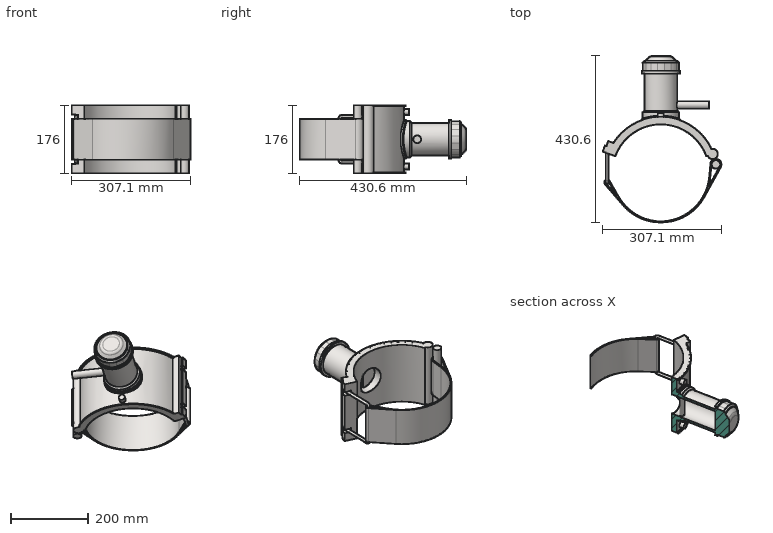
import cadquery as cq
import math

PIPE_RADIUS = 125.0
SADDLE_LENGTH = 176.0
SADDLE_RADIUS = 141.0
RIM_RADIUS = 145.0
RIM_THICKNESS = 3.0
END_ANGLE = 20.0
BORE_DIAMETER = 70.0

BLOCK_INNER = 135.0
BLOCK_OUTER = 160.0
BLOCK_STEP = 4.0
BLOCK_LOWER_WIDTH = 17.0
BLOCK_WIDTH = 31.0
NOTCH_FLOOR = 142.0

HINGE_RADIUS = 13.5
HINGE_CENTRE_RADIUS = 142.5
PIN_DIAMETER = 22.11
PIN_CENTRE = (142.18, 21.6)

STRAP_WIDTH = 105.0
STRAP_THICKNESS = 3.5
WIRE_DIAMETER = 8.0
WIRE_X = -138.7
WIRE_Y = -24.5
WIRE_LEG_Z = 59.0
WIRE_BEND = 5.0
WIRE_TIP_Y = 69.5
NOTCH_INNER_Z = STRAP_WIDTH / 2
NOTCH_OUTER_Z = 63.5

PAD_DIAMETER = 100.0
PAD_RADIUS = 148.0
PAD_CHAMFER = 2.0
COLLAR_DIAMETER = 95.0
COLLAR_TOP_Y = 161.0
BODY_DIAMETER = 85.0
EDGE_CHAMFER = (COLLAR_DIAMETER - BODY_DIAMETER) / 2
FLANGE_DIAMETER = 100.0
FLANGE_BOTTOM_Y = 256.5
CAP_BOTTOM_Y = 263.5
CAP_DIAMETER = 95.0
CAP_TOP_Y = 289.3
GRIP_DIAMETER = 94.3
GRIP_FLATS = 8
DOME_RADIUS = 40.0
DOME_TOP_Y = 302.05
DOME_FLAT_RADIUS = 22.0

FLAP_RADIUS = 148.0
FLAP_THICKNESS = 4.0

OUTLET_DIAMETER = 20.0
OUTLET_Y = 175.0
OUTLET_END_X = 125.0
STUD_DIAMETER = 16.0
STUD_Z = 70.5
STUD_TOP_Y = 154.0


def polar(radius, degrees, centre=(0.0, 0.0)):
    angle = math.radians(degrees)
    return (centre[0] + radius * math.cos(angle), centre[1] + radius * math.sin(angle))


def prism(sketch, height):
    """Extrude an XY outline to a height centred on Z = 0."""
    return sketch.extrude(height / 2, both=True)


def ring_sector(inner, outer, start, end, height, centre=(0.0, 0.0)):
    """Part of a ring between two angles."""
    middle = (start + end) / 2
    outline = (
        cq.Workplane("XY")
        .moveTo(*polar(inner, start, centre))
        .lineTo(*polar(outer, start, centre))
        .threePointArc(polar(outer, middle, centre), polar(outer, end, centre))
        .lineTo(*polar(inner, end, centre))
        .threePointArc(polar(inner, middle, centre), polar(inner, start, centre))
        .close()
    )
    return prism(outline, height)


def cylinder_y(diameter, start, end, z=0.0):
    """Cylinder along Y on X = 0."""
    plane = cq.Plane(origin=(0, start, z), xDir=(1, 0, 0), normal=(0, 1, 0))
    return cq.Workplane(plane).circle(diameter / 2).extrude(end - start)


def block_point(radial, across):
    """Point on the latch block: along the end face, then square to it."""
    angle = math.radians(END_ANGLE)
    x = -radial * math.cos(angle) + across * math.sin(angle)
    y = radial * math.sin(angle) + across * math.cos(angle)
    return (x, y)


def make_latch_block():
    stepped = BLOCK_OUTER - BLOCK_STEP
    corners = [
        (BLOCK_INNER, 0),
        (BLOCK_OUTER, 0),
        (BLOCK_OUTER, BLOCK_LOWER_WIDTH),
        (stepped, BLOCK_LOWER_WIDTH),
        (stepped, BLOCK_WIDTH),
        (BLOCK_INNER, BLOCK_WIDTH),
    ]
    outline = cq.Workplane("XY").polyline([block_point(*corner) for corner in corners]).close()
    return prism(outline, SADDLE_LENGTH)


def make_notches():
    """Two notches in the latch block that take the legs of the wire."""
    corners = [
        (NOTCH_FLOOR, 0),
        (BLOCK_OUTER, 0),
        (BLOCK_OUTER, BLOCK_LOWER_WIDTH),
        (NOTCH_FLOOR, BLOCK_LOWER_WIDTH),
    ]
    outline = cq.Workplane("XY", origin=(0, 0, NOTCH_INNER_Z))
    outline = outline.polyline([block_point(*corner) for corner in corners]).close()
    upper = outline.extrude(NOTCH_OUTER_Z - NOTCH_INNER_Z)
    return upper.union(upper.mirror("XY"))


def make_saddle():
    end = 180 - END_ANGLE
    saddle = ring_sector(PIPE_RADIUS, SADDLE_RADIUS, END_ANGLE, end, SADDLE_LENGTH)
    rim = ring_sector(PIPE_RADIUS, RIM_RADIUS, END_ANGLE, end, RIM_THICKNESS)
    for side in (-1, 1):
        saddle = saddle.union(rim.translate((0, 0, side * (SADDLE_LENGTH - RIM_THICKNESS) / 2)))
    centre = polar(HINGE_CENTRE_RADIUS, END_ANGLE)
    hinge = prism(cq.Workplane("XY").center(*centre).circle(HINGE_RADIUS), SADDLE_LENGTH)
    return saddle.union(hinge).union(make_latch_block()).cut(make_notches())


def make_cap():
    """Cap with a grip of alternating flats and arcs, a conical rim and a rounded dome."""
    rim_y = CAP_TOP_Y - EDGE_CHAMFER
    rim_plane = cq.Plane(origin=(0, rim_y, 0), xDir=(1, 0, 0), normal=(0, 1, 0))
    rim = cq.Workplane(rim_plane).circle(CAP_DIAMETER / 2).extrude(EDGE_CHAMFER, taper=45)

    step = 360 / GRIP_FLATS
    flat_distance = GRIP_DIAMETER / 2 * math.cos(math.radians(step / 4))
    corner_diameter = 2 * flat_distance / math.cos(math.radians(step / 2))
    plane = cq.Plane(origin=(0, CAP_BOTTOM_Y, 0), xDir=(1, 0, 0), normal=(0, 1, 0))
    octagon = cq.Workplane(plane).polygon(GRIP_FLATS, corner_diameter).extrude(rim_y - CAP_BOTTOM_Y)
    grip = cylinder_y(GRIP_DIAMETER, CAP_BOTTOM_Y, rim_y).intersect(octagon)

    edge_run = DOME_RADIUS - (DOME_TOP_Y - CAP_TOP_Y) - DOME_FLAT_RADIUS
    drop = edge_run * math.sin(math.radians(45))
    cone_end = (DOME_FLAT_RADIUS + edge_run + drop, DOME_TOP_Y - drop)
    dome = (
        cq.Workplane("XY")
        .moveTo(0, CAP_TOP_Y)
        .lineTo(DOME_RADIUS, CAP_TOP_Y)
        .lineTo(*cone_end)
        .tangentArcPoint((DOME_FLAT_RADIUS, DOME_TOP_Y), relative=False)
        .lineTo(0, DOME_TOP_Y)
        .close()
        .revolve(360, (0, 0, 0), (0, 1, 0))
    )
    return grip.union(rim).union(dome)


def make_tower():
    pad = cylinder_y(PAD_DIAMETER, PIPE_RADIUS, PAD_RADIUS)
    pad = pad.intersect(prism(cq.Workplane("XY").circle(PAD_RADIUS), SADDLE_LENGTH))
    pad = pad.faces(">Y").chamfer(PAD_CHAMFER)
    collar = cylinder_y(COLLAR_DIAMETER, PIPE_RADIUS, COLLAR_TOP_Y).faces(">Y").chamfer(EDGE_CHAMFER)
    body = cylinder_y(BODY_DIAMETER, PIPE_RADIUS, CAP_BOTTOM_Y)
    flange = cylinder_y(FLANGE_DIAMETER, FLANGE_BOTTOM_Y, CAP_BOTTOM_Y)
    outlet = cq.Workplane("YZ").center(OUTLET_Y, 0).circle(OUTLET_DIAMETER / 2).extrude(OUTLET_END_X)
    tower = pad.union(collar).union(body).union(flange).union(make_cap()).union(outlet)
    for side in (-1, 1):
        tower = tower.union(cylinder_y(STUD_DIAMETER, PIPE_RADIUS, STUD_TOP_Y, side * STUD_Z))
    inside = prism(cq.Workplane("XY").circle(PIPE_RADIUS), SADDLE_LENGTH)
    return tower.cut(inside)


def strap_leg(near, far):
    outline = cq.Workplane("XY").polyline([near[0], near[1], far[1], far[0]]).close()
    return prism(outline, STRAP_WIDTH)


def make_strap_end(centre, core_radius, side):
    """Loop around a core and its two tangent legs; side is +1 for +X and -1 for -X.

    Returns the solid and the angle at which the inner leg leaves the strap circle.
    """
    strap_outer = PIPE_RADIUS + STRAP_THICKNESS
    loop_outer = core_radius + STRAP_THICKNESS
    distance = math.hypot(*centre)
    heading = math.degrees(math.atan2(centre[1], centre[0]))
    inner_turn = math.degrees(math.acos((PIPE_RADIUS + loop_outer) / distance))
    outer_turn = math.degrees(math.acos((strap_outer - loop_outer) / distance))
    inner_angle = heading - side * inner_turn
    outer_angle = heading - side * outer_turn

    inner_leg = strap_leg(
        (polar(PIPE_RADIUS, inner_angle), polar(strap_outer, inner_angle)),
        (polar(-loop_outer, inner_angle, centre), polar(-core_radius, inner_angle, centre)),
    )
    outer_leg = strap_leg(
        (polar(PIPE_RADIUS, outer_angle), polar(strap_outer, outer_angle)),
        (polar(core_radius, outer_angle, centre), polar(loop_outer, outer_angle, centre)),
    )
    loop_end = inner_angle + side * 180
    loop = ring_sector(core_radius, loop_outer, outer_angle, loop_end, STRAP_WIDTH, centre)
    return inner_leg.union(outer_leg).union(loop), inner_angle


def make_strap():
    right_end, right_angle = make_strap_end(PIN_CENTRE, PIN_DIAMETER / 2, 1)
    left_end, left_angle = make_strap_end((WIRE_X, WIRE_Y), WIRE_DIAMETER / 2, -1)
    strap_outer = PIPE_RADIUS + STRAP_THICKNESS
    band = ring_sector(PIPE_RADIUS, strap_outer, left_angle, right_angle, STRAP_WIDTH)
    pin = prism(cq.Workplane("XY").center(*PIN_CENTRE).circle(PIN_DIAMETER / 2), SADDLE_LENGTH)
    return band.union(right_end).union(left_end).union(pin)


def make_wire():
    """U-shaped wire: a bar along Z with a leg along +Y at each end."""
    bend_y = WIRE_Y + WIRE_BEND
    bend_z = WIRE_LEG_Z - WIRE_BEND
    reach = WIRE_BEND * math.sin(math.radians(45))
    path = (
        cq.Workplane("YZ", origin=(WIRE_X, 0, 0))
        .moveTo(WIRE_TIP_Y, -WIRE_LEG_Z)
        .lineTo(bend_y, -WIRE_LEG_Z)
        .threePointArc((bend_y - reach, -bend_z - reach), (WIRE_Y, -bend_z))
        .lineTo(WIRE_Y, bend_z)
        .threePointArc((bend_y - reach, bend_z + reach), (bend_y, WIRE_LEG_Z))
        .lineTo(WIRE_TIP_Y, WIRE_LEG_Z)
    )
    start = cq.Workplane("XZ", origin=(WIRE_X, WIRE_TIP_Y, -WIRE_LEG_Z))
    return start.circle(WIRE_DIAMETER / 2).sweep(path)


def make_flap():
    """Curved half-disc inside the bore, closing the half on the +X side."""
    outer = FLAP_RADIUS + FLAP_THICKNESS
    start = math.degrees(math.acos(BODY_DIAMETER / 2 / outer))
    shell = ring_sector(FLAP_RADIUS, outer, start, 90, BODY_DIAMETER)
    return shell.intersect(cylinder_y((BODY_DIAMETER + BORE_DIAMETER) / 2, PIPE_RADIUS, FLANGE_BOTTOM_Y))


bore = cylinder_y(BORE_DIAMETER, 0, FLANGE_BOTTOM_Y)
result = make_saddle().union(make_tower()).cut(bore).union(make_flap())
result = result.union(make_strap()).union(make_wire())